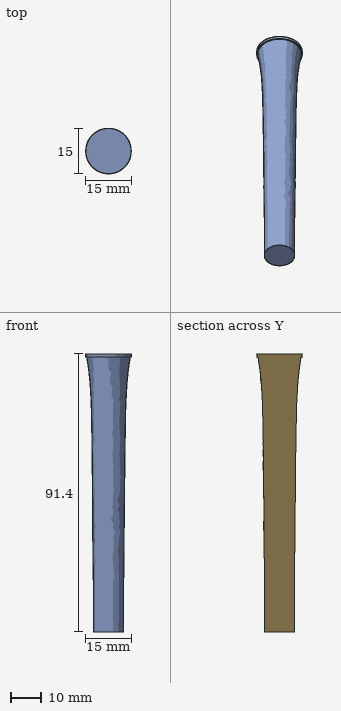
import cadquery as cq

total_length = 91.4
shank_diameter = 10.0
head_diameter = 15.0

shank_length = 16.5
head_thickness = 1.0
head_bottom = total_length - head_thickness

flare_bottom = 66.4
flare_bottom_radius = 5.52
flare_middle = 76.0
flare_middle_radius = 5.75
flare_upper = 85.0
flare_upper_radius = 6.4
flare_top_radius = 7.15


def make_disc(bottom, diameter, height):
    """Upright cylinder on the Z axis, starting at the given height."""
    return cq.Workplane("XY").workplane(offset=bottom).circle(diameter / 2).extrude(height)


def make_body():
    """Body of revolution with one smooth side curve from the shank to the head."""
    shank_radius = shank_diameter / 2
    taper_middle = (shank_length + flare_bottom) / 2
    taper_middle_radius = (shank_radius + flare_bottom_radius) / 2
    side_curve = [
        (taper_middle_radius, taper_middle),
        (flare_bottom_radius, flare_bottom),
        (flare_middle_radius, flare_middle),
        (flare_upper_radius, flare_upper),
        (flare_top_radius, head_bottom),
    ]
    half_profile = (
        cq.Workplane("XZ")
        .moveTo(0, shank_length)
        .lineTo(shank_radius, shank_length)
        .spline(side_curve, includeCurrent=True)
        .lineTo(0, head_bottom)
        .close()
    )
    return half_profile.revolve(360, (0, 0, 0), (0, 1, 0))


shank = make_disc(0, shank_diameter, shank_length)
head = make_disc(head_bottom, head_diameter, head_thickness)

result = shank.union(make_body()).union(head)